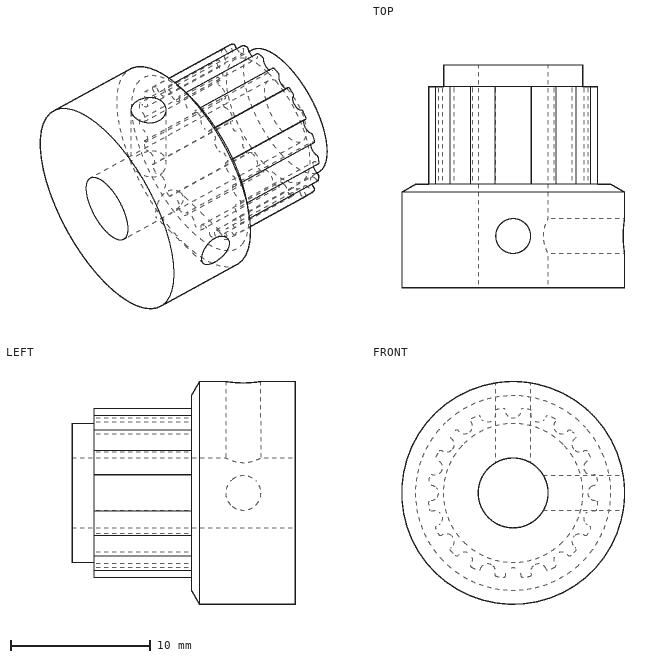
import cadquery as cq
import math

BORE_DIAMETER = 5.0

COLLAR_DIAMETER = 16.0
COLLAR_LENGTH = 7.45
BEVEL_RADIAL = 1.0
BEVEL_ANGLE = 30.0
BEVEL_AXIAL = BEVEL_RADIAL * math.tan(math.radians(BEVEL_ANGLE))

TOOTH_COUNT = 20
TOOTH_PITCH_ANGLE = 360.0 / TOOTH_COUNT
TOOTH_TIP_RADIUS = 6.11
TOOTHED_LENGTH = 7.0
GROOVE_RADIUS = 0.555
TIP_ROUNDING = 0.15

HUB_DIAMETER = 10.0
HUB_LENGTH = 1.55

SET_SCREW_DIAMETER = 2.5
SET_SCREW_POSITION = COLLAR_LENGTH / 2

TOTAL_LENGTH = COLLAR_LENGTH + TOOTHED_LENGTH + HUB_LENGTH


def cylinder_along_y(diameter, start, length):
    return cq.Workplane("XZ", origin=(0, start, 0)).circle(diameter / 2).extrude(-length)


def polar(radius, angle):
    """Point at an angle in degrees, counter-clockwise from the local horizontal axis."""
    return (radius * math.cos(math.radians(angle)), radius * math.sin(math.radians(angle)))


def make_collar():
    """Collar with a bevel on the rim that faces the teeth."""
    radius = COLLAR_DIAMETER / 2
    half_section = (
        cq.Workplane("XY")
        .lineTo(radius, 0)
        .lineTo(radius, COLLAR_LENGTH - BEVEL_AXIAL)
        .lineTo(radius - BEVEL_RADIAL, COLLAR_LENGTH)
        .lineTo(0, COLLAR_LENGTH)
        .close()
    )
    return half_section.revolve(360, (0, 0, 0), (0, 1, 0))


def make_toothed_section():
    """Ring of round-bottomed grooves whose mouths blend into the tooth tips."""
    rounding_centre_radius = TOOTH_TIP_RADIUS - TIP_ROUNDING
    rounding_offset = GROOVE_RADIUS + TIP_ROUNDING
    groove_centre_radius = math.sqrt(rounding_centre_radius**2 - rounding_offset**2)
    groove_root_radius = groove_centre_radius - GROOVE_RADIUS

    mouth_angle = math.degrees(math.asin(rounding_offset / rounding_centre_radius))
    wall_radius = math.hypot(groove_centre_radius, GROOVE_RADIUS)
    wall_angle = math.degrees(math.atan2(GROOVE_RADIUS, groove_centre_radius))

    sweep = math.radians(90 - mouth_angle)
    middle_x = groove_centre_radius + TIP_ROUNDING * math.sin(sweep / 2)
    middle_y = rounding_offset - TIP_ROUNDING * math.cos(sweep / 2)
    middle_radius = math.hypot(middle_x, middle_y)
    middle_angle = math.degrees(math.atan2(middle_y, middle_x))

    profile = cq.Workplane("XZ", origin=(0, COLLAR_LENGTH, 0))
    profile = profile.moveTo(*polar(TOOTH_TIP_RADIUS, -mouth_angle))
    for index in range(TOOTH_COUNT):
        groove = index * TOOTH_PITCH_ANGLE
        next_groove = groove + TOOTH_PITCH_ANGLE
        profile = (
            profile
            .threePointArc(
                polar(middle_radius, groove - middle_angle),
                polar(wall_radius, groove - wall_angle),
            )
            .threePointArc(
                polar(groove_root_radius, groove),
                polar(wall_radius, groove + wall_angle),
            )
            .threePointArc(
                polar(middle_radius, groove + middle_angle),
                polar(TOOTH_TIP_RADIUS, groove + mouth_angle),
            )
            .threePointArc(
                polar(TOOTH_TIP_RADIUS, groove + TOOTH_PITCH_ANGLE / 2),
                polar(TOOTH_TIP_RADIUS, next_groove - mouth_angle),
            )
        )
    return profile.close().extrude(-TOOTHED_LENGTH)


def make_hub():
    return cylinder_along_y(HUB_DIAMETER, COLLAR_LENGTH + TOOTHED_LENGTH, HUB_LENGTH)


def make_set_screw_holes():
    """Two holes at right angles, from the +X and +Z sides of the collar into the bore."""
    centre = (0, SET_SCREW_POSITION, 0)
    hole_radius = SET_SCREW_DIAMETER / 2
    depth = COLLAR_DIAMETER / 2
    hole_z = cq.Workplane("XY", origin=centre).circle(hole_radius).extrude(depth)
    hole_x = cq.Workplane("YZ", origin=centre).circle(hole_radius).extrude(depth)
    return hole_z.union(hole_x)


bore = cylinder_along_y(BORE_DIAMETER, 0, TOTAL_LENGTH)
body = make_collar().union(make_toothed_section()).union(make_hub())
result = body.cut(bore).cut(make_set_screw_holes())